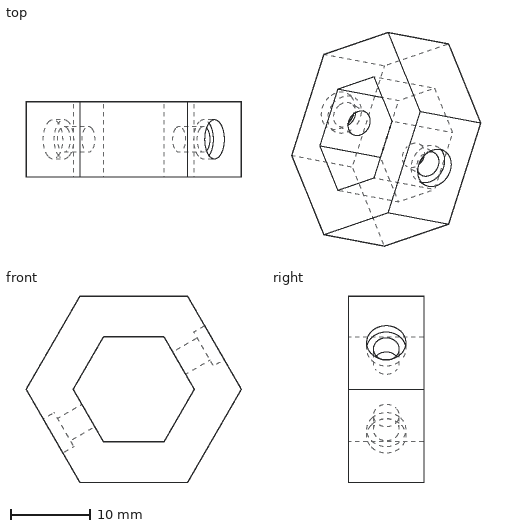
import cadquery as cq
import math

hexagon_sides = 6
outer_across_flats = 23.52
bore_across_flats = 13.2
thickness = 9.53

screw_line_angle = 30
screw_hole_diameter = 3.25
counterbore_diameter = 4.95
counterbore_depth = 1.6


def hexagonal_prism(across_flats):
    """Hexagonal prism along Y, centred on the origin, with corners on the X axis."""
    across_corners = across_flats / math.cos(math.pi / hexagon_sides)
    return cq.Workplane("XZ").polygon(hexagon_sides, across_corners).extrude(thickness / 2, both=True)


def screw_hole(angle):
    """Cutting tool for a counterbored hole from the outer flat at this angle into the bore."""
    outward = cq.Vector(math.cos(math.radians(angle)), 0, math.sin(math.radians(angle)))
    flat_centre = outward * (outer_across_flats / 2)
    flat_plane = cq.Plane(origin=flat_centre, xDir=(0, 1, 0), normal=outward)
    hole_length = outer_across_flats / 2
    hole = cq.Workplane(flat_plane).circle(screw_hole_diameter / 2).extrude(-hole_length)
    counterbore = cq.Workplane(flat_plane).circle(counterbore_diameter / 2).extrude(-counterbore_depth)
    return hole.union(counterbore)


result = hexagonal_prism(outer_across_flats).cut(hexagonal_prism(bore_across_flats))
for hole_angle in (screw_line_angle, screw_line_angle + 180):
    result = result.cut(screw_hole(hole_angle))